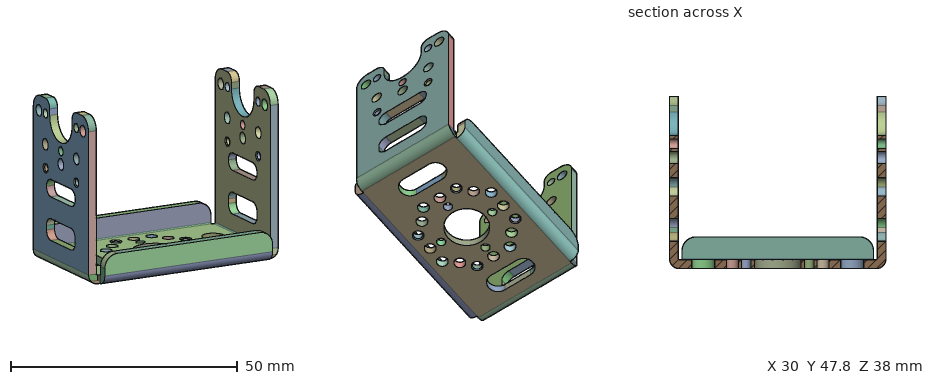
import cadquery as cq
import math

width = 30.0
length = 47.8
height = 38.0

sheet = 2.0
inner_bend = 0.25
outer_bend = sheet + inner_bend

floor_width = width - 2 * outer_bend
floor_length = length - 2 * outer_bend
wall_width = 25.15
wall_taper_start = 0.8
wall_corner = 3.05
notch_corner = 2.0
flange_length = 42.25
flange_height = 7.05
flange_corner = 3.1

bore_radius = 5.05
hub_z = 34.5
small_hole = 2.0
small_pitch = 7.0
big_hole = 2.6
big_pitch = 10.0
diagonal_pitch = big_pitch * math.sqrt(0.5)

tap_chamfer = 0.25
offset_pitch = 4.5
floor_tapped_hole = 2.1
wall_tapped_hole = 1.63
wall_tapped_drop = 12.48
wall_tapped_z = hub_z - wall_tapped_drop

wall_slot_width = 13.0
wall_slot_corner = 1.95
upper_slot_height = 3.95
upper_slot_z = 18.0
lower_slot_height = 4.95
lower_slot_z = 8.55
floor_slot_width = 12.0
floor_slot_height = 5.0
floor_slot_y = 16.4


def channel(size_x, size_y, size_z, bend_axis):
    """Sheet folded into an upward U whose two bends run along the given axis."""
    opening_x = size_x - 2 * sheet if bend_axis == "Y" else size_x
    opening_y = size_y - 2 * sheet if bend_axis == "X" else size_y
    bottom_edges = f"|{bend_axis} and <Z"
    outside = cq.Workplane().box(size_x, size_y, size_z, centered=(True, True, False))
    outside = outside.edges(bottom_edges).fillet(outer_bend)
    inside = cq.Workplane().box(opening_x, opening_y, size_z, centered=(True, True, False))
    inside = inside.edges(bottom_edges).fillet(inner_bend)
    return outside.cut(inside.translate((0, 0, sheet)))


def end_walls():
    """Two tall walls joined under the floor, with bends that taper out to the floor width."""
    half_wall = wall_width / 2
    half_floor = floor_width / 2
    outline = (
        cq.Workplane("XZ")
        .moveTo(-half_floor, 0)
        .lineTo(half_floor, 0)
        .lineTo(half_floor, wall_taper_start)
        .lineTo(half_wall, outer_bend)
        .lineTo(half_wall, height)
        .lineTo(-half_wall, height)
        .lineTo(-half_wall, outer_bend)
        .lineTo(-half_floor, wall_taper_start)
        .close()
        .extrude(length, both=True)
        .edges("|Y and >Z")
        .fillet(wall_corner)
    )
    return channel(floor_width, length, height, "X").intersect(outline)


def side_flanges():
    """Two low flanges with rounded upper corners."""
    flanges = channel(width, flange_length, flange_height, "Y")
    return flanges.edges("|X and >Z").fillet(flange_corner)


def floor():
    """Flat sheet that carries the flanges and reaches the wall bends."""
    return cq.Workplane().box(floor_width, floor_length, sheet, centered=(True, True, False))


def through_floor(points, diameter):
    """Cutters for round holes through the floor."""
    return cq.Workplane().pushPoints(points).circle(diameter / 2).extrude(sheet)


def through_walls(points, diameter):
    """Cutters for round holes through both end walls."""
    return cq.Workplane("XZ").pushPoints(points).circle(diameter / 2).extrude(length, both=True)


def tapped_cutter(diameter):
    """Hole cutter one sheet deep along +Z, with a chamfer at each mouth."""
    radius = diameter / 2
    mouth_radius = radius + tap_chamfer
    half_section = [
        (0, 0),
        (mouth_radius, 0),
        (radius, tap_chamfer),
        (radius, sheet - tap_chamfer),
        (mouth_radius, sheet),
        (0, sheet),
    ]
    return cq.Workplane("XZ").polyline(half_section).close().revolve(360, (0, 0), (0, 1))


def ring(pitch):
    """Four points on the axes at the given distance from the centre."""
    return [(pitch, 0), (-pitch, 0), (0, pitch), (0, -pitch)]


def square(half_side):
    """Four corners of a square about the centre."""
    return [(x, y) for x in (-half_side, half_side) for y in (-half_side, half_side)]


def cut_floor(body):
    """Bore, hub holes, tapped holes and slots of the floor."""
    near = offset_pitch
    far = big_pitch
    plain_offset = [(-far, near), (near, far), (far, -near), (-near, -far)]
    tapped_offset = [(-near, far), (far, near), (near, -far), (-far, -near)]
    body = body.cut(through_floor([(0, 0)], 2 * bore_radius))
    body = body.cut(through_floor(ring(small_pitch), small_hole))
    body = body.cut(through_floor(ring(big_pitch) + square(diagonal_pitch) + plain_offset, big_hole))
    for x, y in tapped_offset:
        body = body.cut(tapped_cutter(floor_tapped_hole).translate((x, y, 0)))
    slots = (
        cq.Workplane()
        .pushPoints([(0, floor_slot_y), (0, -floor_slot_y)])
        .slot2D(floor_slot_width, floor_slot_height)
        .extrude(sheet)
    )
    return body.cut(slots)


def wall_notch():
    """Round-bottomed opening in the top of the walls, flared by rounded corners."""
    flare = bore_radius + notch_corner
    corner_z = height - notch_corner
    return (
        cq.Workplane("XZ")
        .moveTo(-bore_radius, hub_z)
        .threePointArc((0, hub_z - bore_radius), (bore_radius, hub_z))
        .lineTo(bore_radius, corner_z)
        .radiusArc((flare, height), notch_corner)
        .lineTo(-flare, height)
        .radiusArc((-bore_radius, corner_z), notch_corner)
        .close()
        .extrude(length, both=True)
    )


def wall_slot(slot_height, z):
    """Rounded slot through both end walls."""
    slot = cq.Workplane("XZ").rect(wall_slot_width, slot_height).extrude(length, both=True)
    return slot.edges("|Y").fillet(wall_slot_corner).translate((0, 0, z))


def cut_walls(body):
    """Notch, hub holes, tapped holes and slots of the end walls."""
    small_points = [(-small_pitch, hub_z), (small_pitch, hub_z), (0, hub_z - small_pitch)]
    big_points = [
        (-big_pitch, hub_z),
        (big_pitch, hub_z),
        (0, hub_z - big_pitch),
        (-diagonal_pitch, hub_z - diagonal_pitch),
        (diagonal_pitch, hub_z - diagonal_pitch),
    ]
    body = body.cut(wall_notch())
    body = body.cut(through_walls(small_points, small_hole))
    body = body.cut(through_walls(big_points, big_hole))
    cutter = tapped_cutter(wall_tapped_hole).rotate((0, 0, 0), (1, 0, 0), 90)
    for x in (-small_pitch, small_pitch):
        for upper_y in (sheet - length / 2, length / 2):
            body = body.cut(cutter.translate((x, upper_y, wall_tapped_z)))
    body = body.cut(wall_slot(upper_slot_height, upper_slot_z))
    return body.cut(wall_slot(lower_slot_height, lower_slot_z))


bracket = end_walls().union(side_flanges()).union(floor())
result = cut_walls(cut_floor(bracket))